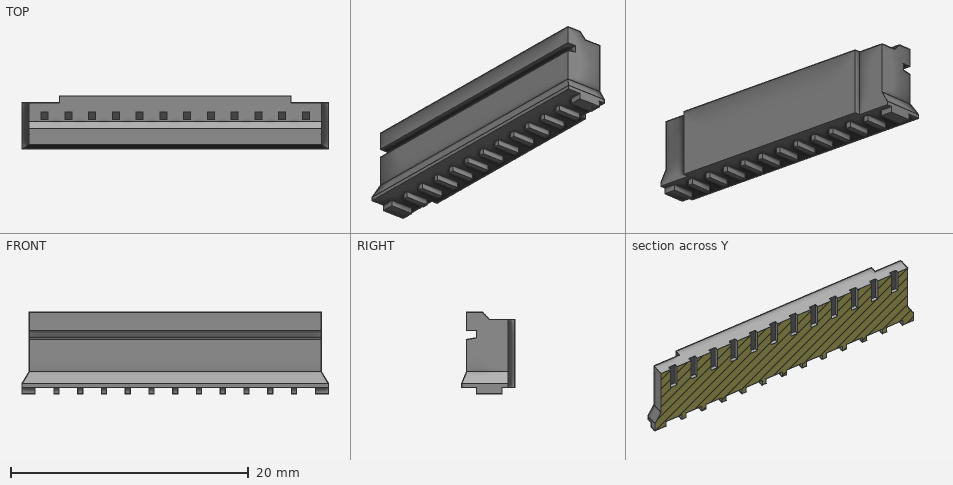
import cadquery as cq

length = 25.8
depth = 4.5
height = 6.85
front = -depth / 2
rear = depth / 2

foot_height = 0.52
flange_top = 0.85
flare_top = 1.85
shelf_top = 6.27

body_length = 24.61
body_front = front + 0.4
body_rear = rear - 0.57
ramp_front = front + 1.75
ramp_rear = front + 2.35

groove_back = front + 1.25
groove_top = 5.31
groove_low_inner = 4.72
groove_low_outer = 4.57

rear_block_length = 19.5

contact_count = 12
contact_row_span = 22.0
pitch = contact_row_span / (contact_count - 1)
socket_size = 0.6
socket_center_y = front + 2.8
socket_depth = 2.06
tooth_width = 0.45
slot_width = pitch - tooth_width
foot_front = front + 1.25
foot_rear = front + 3.4


def box_between(x_size, y_start, y_end, z_start, z_end):
    """Box centred on X between two depths and two heights."""
    return (
        cq.Workplane("XY", origin=(0, y_start, z_start))
        .box(x_size, y_end - y_start, z_end - z_start, centered=(True, False, False))
    )


def make_body():
    """Housing cross-section, extruded along the length."""
    outline = [
        (body_rear, foot_height),
        (body_front, foot_height),
        (body_front, groove_low_outer),
        (groove_back, groove_low_inner),
        (groove_back, groove_top),
        (body_front, groove_top),
        (body_front, height),
        (ramp_front, height),
        (ramp_rear, shelf_top),
        (body_rear, shelf_top),
    ]
    return cq.Workplane("YZ").polyline(outline).close().extrude(body_length / 2, both=True)


def rectangle_corners(x_size, y_start):
    """Corners of a rectangle that reaches from a given depth to the back of the body."""
    half = x_size / 2
    return [(-half, y_start), (half, y_start), (half, body_rear), (-half, body_rear)]


def make_flange():
    """Flange band with a flare that narrows up to the body at the front and both ends."""
    band = box_between(length, front, body_rear, foot_height, flange_top)
    flare = (
        cq.Workplane("XY", origin=(0, 0, flange_top))
        .polyline(rectangle_corners(length, front))
        .close()
        .workplane(offset=flare_top - flange_top)
        .polyline(rectangle_corners(body_length, body_front))
        .close()
        .loft(ruled=True)
    )
    return band.union(flare)


def make_rear_block():
    return box_between(rear_block_length, body_rear, rear, foot_height, shelf_top)


def make_feet():
    """Row of teeth under the housing, left between the contact slots."""
    feet = box_between(length, foot_front, foot_rear, 0, foot_height)
    slots = (
        cq.Workplane("XY")
        .rarray(pitch, 0.25, contact_count, 1)
        .rect(slot_width, 2 * depth)
        .extrude(foot_height)
    )
    return feet.cut(slots)


def make_sockets():
    """Square blind sockets in the shelf."""
    return (
        cq.Workplane("XY", origin=(0, socket_center_y, shelf_top))
        .rarray(pitch, 0.25, contact_count, 1)
        .rect(socket_size, socket_size)
        .extrude(-socket_depth)
    )


result = (
    make_body()
    .union(make_flange())
    .union(make_rear_block())
    .union(make_feet())
    .cut(make_sockets())
)